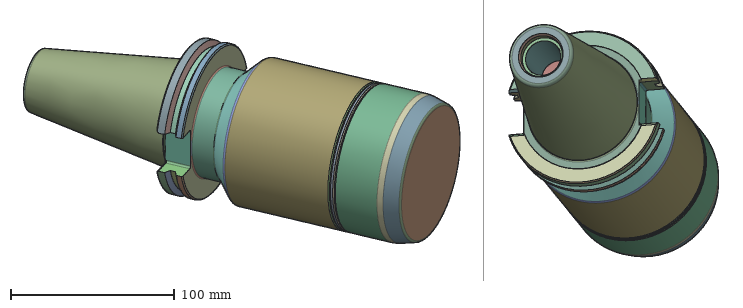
import math

import cadquery as cq

TAPER_LENGTH = 101.75
TOTAL_LENGTH = 266.75
NOSE_X = TOTAL_LENGTH - TAPER_LENGTH

GAUGE_RADIUS = 69.85 / 2
TAPER_SLOPE = 7 / 48
TAPER_TIP_FILLET = 2.2
TAPER_TIP_RADIUS = GAUGE_RADIUS - TAPER_SLOPE * TAPER_LENGTH

RELIEF_RADIUS = 69.25 / 2
RELIEF_FILLET = 0.7
RELIEF_LEAD = GAUGE_RADIUS - RELIEF_RADIUS

FLANGE_RADIUS = 98.425 / 2
FLANGE_FACE_X = 1.2
FLANGE_BACK_X = 19.1
FLANGE_CHAMFER = 0.8
FACE_RECESS_RADIUS = 39.8
FACE_RECESS_DEPTH = 0.6
RECESS_FLOOR_X = FLANGE_FACE_X + FACE_RECESS_DEPTH

GROOVE_CENTER_X = 10.9
GROOVE_FLOOR_WIDTH = 3.5
GROOVE_DEPTH = 3.6
GROOVE_HALF_ANGLE = math.radians(30)

SLOT_WIDTH = 27.1
SLOT_FLOOR_DISTANCES = {1: 37.7, -1: 35.3}
SLOT_FLOOR_FILLET = 1.2
SLOT_LEAD_IN = 1.6
SLOT_LEAD_IN_LENGTH = 1.6

NECK_RADIUS = 69.85 / 2
NECK_FILLET = 0.8
BODY_RADIUS = 94 / 2
SHOULDER_X = 46.75
SHOULDER_FILLET = 2.3

RING_GROOVE_RADIUS = 93.2 / 2
RING_GROOVE_CENTERS = (118.1, 121.4)
RING_GROOVE_WIDTH = 1.8

NOSE_TAPER_X = 152.4
NOSE_TAPER_ANGLE = math.radians(15)
NOSE_BLEND_RADIUS = 15.0
NOSE_EDGE_FILLET = 1.5

COUNTERBORE_RADIUS = 26.2 / 2
COUNTERBORE_DEPTH = 5.6
COUNTERBORE_CHAMFER = 1.0
COUNTERBORE_CHAMFER_LENGTH = 1.7
BORE_RADIUS = 22.2 / 2
BORE_DEPTH = 45.0
FLOOR_CONE_HALF_ANGLE = math.radians(77)


def revolve_about_x(points):
    """Revolve a closed (x, radius) outline about the X axis."""
    return cq.Workplane("XY").polyline(points).close().revolve(360, (0, 0, 0), (1, 0, 0))


def circle_edges_at(x, radius):
    """Select the round edges at one X station, up to the given radius."""
    tolerance = 0.05
    low = (x - tolerance, -radius - tolerance, -radius - tolerance)
    high = (x + tolerance, radius + tolerance, radius + tolerance)
    return cq.selectors.BoxSelector(low, high, boundingbox=True)


def make_taper():
    """Steep taper with a rounded tip and a relief that runs into the flange."""
    taper = revolve_about_x([
        (-TAPER_LENGTH, 0),
        (-TAPER_LENGTH, TAPER_TIP_RADIUS),
        (0, GAUGE_RADIUS),
        (RELIEF_LEAD, RELIEF_RADIUS),
        (RECESS_FLOOR_X, RELIEF_RADIUS),
        (RECESS_FLOOR_X, 0),
    ])
    return taper.edges(circle_edges_at(-TAPER_LENGTH, TAPER_TIP_RADIUS)).fillet(TAPER_TIP_FILLET)


def make_flange():
    """Flange with chamfered rims, a V-groove and a shallow recess in its face."""
    rim_radius = FLANGE_RADIUS - FLANGE_CHAMFER
    floor_half = GROOVE_FLOOR_WIDTH / 2
    mouth_half = floor_half + GROOVE_DEPTH * math.tan(GROOVE_HALF_ANGLE)
    floor_radius = FLANGE_RADIUS - GROOVE_DEPTH
    return revolve_about_x([
        (RECESS_FLOOR_X, 0),
        (RECESS_FLOOR_X, FACE_RECESS_RADIUS),
        (FLANGE_FACE_X, FACE_RECESS_RADIUS),
        (FLANGE_FACE_X, rim_radius),
        (FLANGE_FACE_X + FLANGE_CHAMFER, FLANGE_RADIUS),
        (GROOVE_CENTER_X - mouth_half, FLANGE_RADIUS),
        (GROOVE_CENTER_X - floor_half, floor_radius),
        (GROOVE_CENTER_X + floor_half, floor_radius),
        (GROOVE_CENTER_X + mouth_half, FLANGE_RADIUS),
        (FLANGE_BACK_X - FLANGE_CHAMFER, FLANGE_RADIUS),
        (FLANGE_BACK_X, rim_radius),
        (FLANGE_BACK_X, 0),
    ])


def make_drive_slot(side, floor_distance):
    """Cutter for the drive slot on one side, floor_distance from the axis."""
    length = FLANGE_BACK_X - FLANGE_FACE_X
    depth = FLANGE_RADIUS - floor_distance
    middle_y = side * (FLANGE_RADIUS + floor_distance) / 2
    floor_side = "<Y" if side > 0 else ">Y"
    channel = (
        cq.Workplane("XY")
        .box(length, depth, SLOT_WIDTH)
        .edges(floor_side + " and |X")
        .fillet(SLOT_FLOOR_FILLET)
        .translate((FLANGE_FACE_X + length / 2, middle_y, 0))
    )
    wall_z = SLOT_WIDTH / 2
    mouth_z = wall_z + SLOT_LEAD_IN
    lead_in_end_x = FLANGE_FACE_X + SLOT_LEAD_IN_LENGTH
    lead_in = (
        cq.Workplane("XZ")
        .polyline([
            (FLANGE_FACE_X, -mouth_z),
            (lead_in_end_x, -wall_z),
            (lead_in_end_x, wall_z),
            (FLANGE_FACE_X, mouth_z),
        ])
        .close()
        .extrude(depth / 2, both=True)
        .translate((0, middle_y, 0))
    )
    return channel.union(lead_in)


def make_body():
    """Neck, 45 degree shoulder, cylindrical body and tapered nose."""
    shoulder_start_x = SHOULDER_X - (BODY_RADIUS - NECK_RADIUS)
    nose_radius = BODY_RADIUS - (NOSE_X - NOSE_TAPER_X) * math.tan(NOSE_TAPER_ANGLE)
    body = revolve_about_x([
        (FLANGE_BACK_X, 0),
        (FLANGE_BACK_X, NECK_RADIUS),
        (shoulder_start_x, NECK_RADIUS),
        (SHOULDER_X, BODY_RADIUS),
        (NOSE_TAPER_X, BODY_RADIUS),
        (NOSE_X, nose_radius),
        (NOSE_X, 0),
    ])
    rounded_edges = [
        (shoulder_start_x, NECK_RADIUS, NECK_FILLET),
        (SHOULDER_X, BODY_RADIUS, SHOULDER_FILLET),
        (NOSE_TAPER_X, BODY_RADIUS, NOSE_BLEND_RADIUS),
        (NOSE_X, nose_radius, NOSE_EDGE_FILLET),
    ]
    for x, radius, fillet in rounded_edges:
        body = body.edges(circle_edges_at(x, radius)).fillet(fillet)
    return body


def make_ring_groove(center_x):
    """Cutter for one narrow V-groove round the body."""
    half_width = RING_GROOVE_WIDTH / 2
    return revolve_about_x([
        (center_x - half_width, BODY_RADIUS),
        (center_x, RING_GROOVE_RADIUS),
        (center_x + half_width, BODY_RADIUS),
    ])


def make_bore():
    """Cutter for the counterbored blind hole in the taper end, with a shallow conical floor."""
    mouth_radius = COUNTERBORE_RADIUS + COUNTERBORE_CHAMFER
    step_x = COUNTERBORE_DEPTH - TAPER_LENGTH
    floor_x = BORE_DEPTH - TAPER_LENGTH
    cone_length = BORE_RADIUS / math.tan(FLOOR_CONE_HALF_ANGLE)
    return revolve_about_x([
        (-TAPER_LENGTH, 0),
        (-TAPER_LENGTH, mouth_radius),
        (COUNTERBORE_CHAMFER_LENGTH - TAPER_LENGTH, COUNTERBORE_RADIUS),
        (step_x, COUNTERBORE_RADIUS),
        (step_x, BORE_RADIUS),
        (floor_x, BORE_RADIUS),
        (floor_x + cone_length, 0),
    ])


flange = make_flange()
for slot_side, slot_floor in SLOT_FLOOR_DISTANCES.items():
    flange = flange.cut(make_drive_slot(slot_side, slot_floor))

body = make_body()
for groove_x in RING_GROOVE_CENTERS:
    body = body.cut(make_ring_groove(groove_x))

holder = make_taper().union(flange).union(body)
holder = holder.edges(circle_edges_at(RECESS_FLOOR_X, RELIEF_RADIUS)).fillet(RELIEF_FILLET)
holder = holder.edges(circle_edges_at(FLANGE_BACK_X, NECK_RADIUS)).fillet(NECK_FILLET)
result = holder.cut(make_bore())